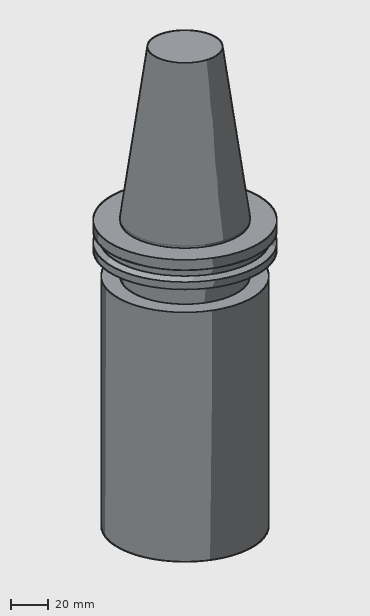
import cadquery as cq

total_height = 284.5

body_diameter = 90.0
body_height = 148.3
neck_diameter = 69.7
flange_bottom = 164.0

flange_diameter = 98.5
flange_height = 17.6
groove_floor_diameter = 91.4
groove_floor_width = 3.5
groove_mouth_width = 7.0

groove_offset = 11.0

taper_height = 101.5
taper_large_diameter = 69.7
taper_small_diameter = 40.5

flange_top = flange_bottom + flange_height
gauge_line = total_height - taper_height
groove_center = gauge_line - groove_offset

body_radius = body_diameter / 2
neck_radius = neck_diameter / 2
flange_radius = flange_diameter / 2
groove_floor_radius = groove_floor_diameter / 2
taper_large_radius = taper_large_diameter / 2
taper_small_radius = taper_small_diameter / 2

profile = [
    (0, 0),
    (body_radius, 0),
    (body_radius, body_height),
    (neck_radius, body_height),
    (neck_radius, flange_bottom),
    (flange_radius, flange_bottom),
    (flange_radius, groove_center - groove_mouth_width / 2),
    (groove_floor_radius, groove_center - groove_floor_width / 2),
    (groove_floor_radius, groove_center + groove_floor_width / 2),
    (flange_radius, groove_center + groove_mouth_width / 2),
    (flange_radius, flange_top),
    (taper_large_radius, flange_top),
    (taper_large_radius, gauge_line),
    (taper_small_radius, total_height),
    (0, total_height),
]

result = cq.Workplane("XZ").polyline(profile).close().revolve(360, (0, 0, 0), (0, 1, 0))